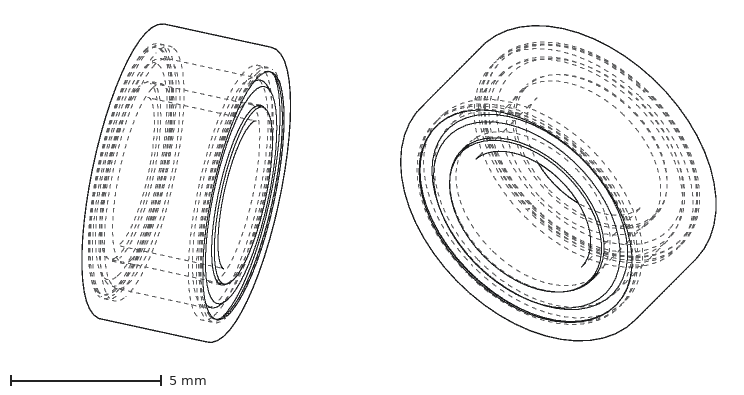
import cadquery as cq

width = 4.0
outer_radius = 5.0
bore_radius = 2.5
edge_fillet = 0.15

lip_radius = 4.2
lip_width = 0.06
groove_radius = 8.64 / 2
land_radius = 3.9

inner_ring_radius = 3.0

shield_bore_radius = 6.09 / 2
shield_face_radius = 3.68
valley_inner_radius = 3.86
valley_outer_radius = land_radius
shield_recess = 0.08
flange_dip = 0.075
valley_depth = 0.26
flange_depth = valley_depth - flange_dip
shield_thickness = 0.2
shield_back_depth = valley_depth + shield_thickness



def revolve_about_x(points):
    """Revolve a closed outline of (x, radius) points about the X axis."""
    return cq.Workplane("XY").polyline(points).close().revolve(360, (0, 0, 0), (1, 0, 0))


def make_outer_ring():
    end = width / 2
    groove_start = end - lip_width
    groove_end = end - shield_back_depth
    ring = revolve_about_x([
        (-end, outer_radius),
        (end, outer_radius),
        (end, lip_radius),
        (groove_start, lip_radius),
        (groove_start, groove_radius),
        (groove_end, groove_radius),
        (groove_end, land_radius),
        (-groove_end, land_radius),
        (-groove_end, groove_radius),
        (-groove_start, groove_radius),
        (-groove_start, lip_radius),
        (-end, lip_radius),
    ])
    outer_edges = cq.selectors.RadiusNthSelector(-1)
    return ring.edges(outer_edges).fillet(edge_fillet)


def make_inner_ring():
    end = width / 2
    ring = revolve_about_x([
        (-end, inner_ring_radius),
        (end, inner_ring_radius),
        (end, bore_radius),
        (-end, bore_radius),
    ])
    bore_edges = cq.selectors.RadiusNthSelector(0)
    return ring.edges(bore_edges).fillet(edge_fillet)


def make_shield(side):
    """Build the shield whose flange fits the groove at the end given by side: -1 for -X, 1 for +X."""
    end = width / 2
    face = side * (end - shield_recess)
    flange = side * (end - flange_depth)
    valley = side * (end - valley_depth)
    back = side * (end - shield_back_depth)
    return revolve_about_x([
        (face, shield_bore_radius),
        (face, shield_face_radius),
        (valley, valley_inner_radius),
        (valley, valley_outer_radius),
        (flange, groove_radius),
        (back, groove_radius),
        (back, shield_bore_radius),
    ])


outer_ring = make_outer_ring()
inner_ring = make_inner_ring()
shields = [make_shield(side) for side in (-1, 1)]

result = cq.Compound.makeCompound([
    outer_ring.val(),
    inner_ring.val(),
    *[shield.val() for shield in shields],
])